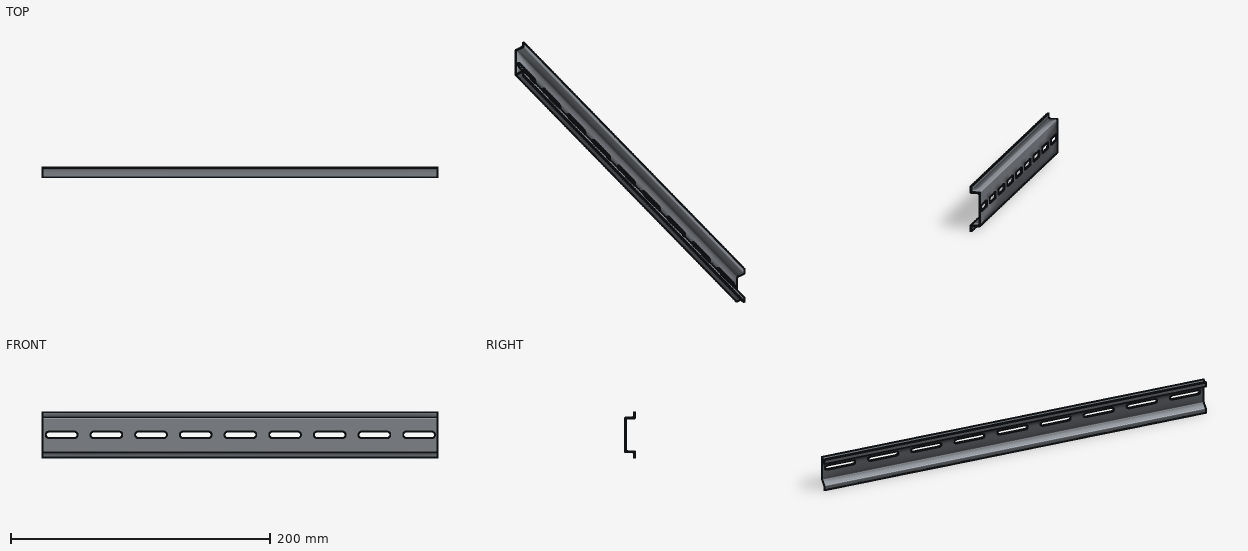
import cadquery as cq

length = 304.8
depth = 8.0
height = 35.0

sheet = 1.0
channel_opening = 25.0
bend_radius = 1.0

slot_count = 9
slot_pitch = 34.5
slot_length = 24.5
slot_height = 5.0
row_offset = 0.3

half_height = height / 2
inner_half = channel_opening / 2
outer_half = inner_half + sheet
front = -depth / 2
back = depth / 2


def rail_body():
    """Extrude the sharp-cornered hat section, then round both sides of every bend."""
    section = [
        (front, -outer_half),
        (front, outer_half),
        (back - sheet, outer_half),
        (back - sheet, half_height),
        (back, half_height),
        (back, inner_half),
        (front + sheet, inner_half),
        (front + sheet, -inner_half),
        (back, -inner_half),
        (back, -half_height),
        (back - sheet, -half_height),
        (back - sheet, -outer_half),
    ]
    body = cq.Workplane("YZ").polyline(section).close().extrude(length / 2, both=True)

    for side in (-1, 1):
        web_bend = [(0, front, side * outer_half), (0, front + sheet, side * inner_half)]
        flange_bend = [(0, back, side * inner_half), (0, back - sheet, side * outer_half)]
        body = round_edges(body, web_bend + flange_bend)
    return body


def round_edges(body, midpoints):
    """Fillet the lengthwise edges that pass through the given midpoints."""
    for midpoint in midpoints:
        body = body.edges(cq.selectors.NearestToPointSelector(midpoint)).fillet(bend_radius)
    return body


def slot_cutter():
    """Row of evenly spaced, round-ended slots reaching through the web."""
    return (
        cq.Workplane("XZ")
        .center(row_offset, 0)
        .rarray(slot_pitch, 3, slot_count, 1)
        .slot2D(slot_length, slot_height)
        .extrude(depth, both=True)
    )


result = rail_body().cut(slot_cutter())